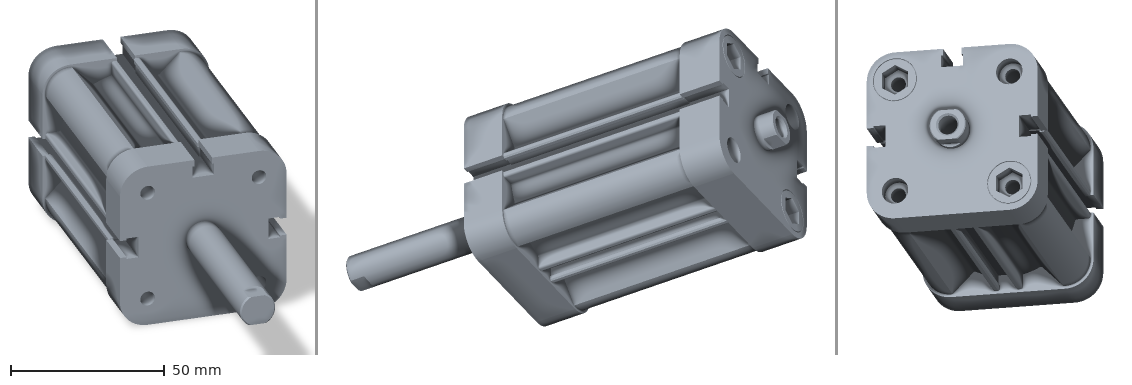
import cadquery as cq
import math


rod_length = 160.0
rear_cap_start = 6.9
rear_cap_length = 14.9
barrel_length = 66.5
front_cap_length = 14.4
barrel_start = rear_cap_start + rear_cap_length
front_cap_start = barrel_start + barrel_length

cap_width = 57.0
cap_corner_radius = 9.5
bolt_offset = cap_width / 2 - cap_corner_radius
bolt_hole_diameter = 5.0
recess_width = 8.8
recess_depth = 5.0
ring_outer_diameter = 14.7
ring_inner_diameter = 14.0
ring_depth = 0.5

slot_floor = 22.2
cap_mouth_width = 6.0
cap_mouth_depth = 2.2
cap_slot_width = 7.4

barrel_width = 55.0
tube_radius = 23.0
post_radius = barrel_width / 2 - bolt_offset
rib_half_width = 6.4
valley_fillet = 0.8
lip_half_width = 5.0
lip_top_fillet = 0.8
lip_base_fillet = 0.6
barrel_mouth_width = 5.5
barrel_mouth_depth = 1.8
barrel_mouth_chamfer = 0.5
barrel_slot_width = 6.4

rod_diameter = 12.0
front_chamfer = 0.5
rear_chamfer = 0.3
flat_width = 10.0
rear_flat_length = 4.8
front_flat_length = 5.5
run_out_angle = 65.0
thread_hole_diameter = 6.4
thread_mouth_diameter = 7.7
thread_hole_depth = 16.0
drill_tip_angle = 118.0

quarter_turns = [0, 90, 180, 270]
cap_slot_turns = [0, 90, 270]


def cross_section(x):
    """Workplane across the axis at x: local axes are Y and Z."""
    return cq.Workplane("YZ", origin=(x, 0, 0))


def turned(shape, angle):
    return shape.rotate((0, 0, 0), (1, 0, 0), angle)


def centred_rectangle(x, length, width, bottom, top):
    """Bar along X, centred in Y, between two heights."""
    return cross_section(x).center(0, (bottom + top) / 2).rect(width, top - bottom).extrude(length)


def bolt_holes(x, length):
    square = cross_section(x).rect(2 * bolt_offset, 2 * bolt_offset, forConstruction=True)
    return square.vertices().circle(bolt_hole_diameter / 2).extrude(length)


def rod_bore(x, length):
    return cross_section(x).circle(rod_diameter / 2).extrude(length)


def cap_blank(x, length):
    """Rounded square block with three stepped slots, bolt holes and the rod bore."""
    cap = cross_section(x).rect(cap_width, cap_width).extrude(length).edges("|X").fillet(cap_corner_radius)
    step = cap_width / 2 - cap_mouth_depth
    slot = centred_rectangle(x, length, cap_slot_width, slot_floor, step)
    slot = slot.union(centred_rectangle(x, length, cap_mouth_width, step, cap_width / 2))
    for angle in cap_slot_turns:
        cap = cap.cut(turned(slot, angle))
    return cap.cut(bolt_holes(x, length)).cut(rod_bore(x, length))


def make_front_cap():
    return cap_blank(front_cap_start, front_cap_length)


def make_rear_cap():
    """Cap with two round recesses on one diagonal and two ringed hexagonal ones on the other."""
    cap = cap_blank(rear_cap_start, rear_cap_length)
    face = cross_section(rear_cap_start)
    hexagon_diameter = recess_width / math.cos(math.pi / 6)
    for side in (1, -1):
        round_recess = face.center(-side * bolt_offset, side * bolt_offset).circle(recess_width / 2)
        cap = cap.cut(round_recess.extrude(recess_depth))
        hexagon_place = (rear_cap_start, side * bolt_offset, side * bolt_offset)
        hexagon = cq.Workplane("YZ").polygon(6, hexagon_diameter).extrude(recess_depth)
        ring = cq.Workplane("YZ").circle(ring_outer_diameter / 2).circle(ring_inner_diameter / 2)
        ring = ring.extrude(ring_depth)
        cap = cap.cut(turned(hexagon, 90).translate(hexagon_place))
        cap = cap.cut(ring.translate(hexagon_place))
    return cap


def corner_rib():
    """Diagonal rib with parallel flanks, ending in the round post at the bolt hole."""
    post_centre = bolt_offset * math.sqrt(2)
    flank_end = post_centre + math.sqrt(post_radius**2 - rib_half_width**2)
    return turned(
        cross_section(barrel_start)
        .moveTo(0, -rib_half_width)
        .lineTo(flank_end, -rib_half_width)
        .threePointArc((post_centre + post_radius, 0), (flank_end, rib_half_width))
        .lineTo(0, rib_half_width)
        .close()
        .extrude(barrel_length),
        45,
    )


def long_edges_at(body, across, out):
    """Lengthwise edges of the top side at distance `across` from the middle and height `out`."""
    tolerance = 0.02

    def is_there(edge):
        middle = edge.Center()
        return abs(abs(middle.y) - across) < tolerance and abs(middle.z - out) < tolerance

    return body.edges("|X").filter(is_there)


def barrel_slot():
    top = barrel_width / 2
    step = top - barrel_mouth_depth
    slot = centred_rectangle(barrel_start, barrel_length, barrel_slot_width, slot_floor, step)
    mouth_half = barrel_mouth_width / 2
    mouth = (
        cross_section(barrel_start)
        .polyline([
            (-mouth_half, step),
            (mouth_half, step),
            (mouth_half, top - barrel_mouth_chamfer),
            (mouth_half + barrel_mouth_chamfer, top),
            (-mouth_half - barrel_mouth_chamfer, top),
            (-mouth_half, top - barrel_mouth_chamfer),
        ])
        .close()
        .extrude(barrel_length)
    )
    return slot.union(mouth)


def make_barrel():
    barrel = cross_section(barrel_start).circle(tube_radius).extrude(barrel_length)
    lips = centred_rectangle(barrel_start, barrel_length, 2 * lip_half_width, 0, barrel_width / 2)
    for angle in quarter_turns:
        barrel = barrel.union(turned(corner_rib(), angle)).union(turned(lips, angle))

    flank_shift = rib_half_width * math.sqrt(2)
    valley_across = (math.sqrt(2 * tube_radius**2 - flank_shift**2) - flank_shift) / 2
    lip_base = math.sqrt(tube_radius**2 - lip_half_width**2)
    rounds = [
        (valley_across, valley_across + flank_shift, valley_fillet),
        (lip_half_width, lip_base, lip_base_fillet),
        (lip_half_width, barrel_width / 2, lip_top_fillet),
    ]
    slot = barrel_slot()
    for _ in quarter_turns:
        for across, out, radius in rounds:
            barrel = long_edges_at(barrel, across, out).fillet(radius)
        barrel = turned(barrel.cut(slot), 90)
    return barrel.cut(bolt_holes(barrel_start, barrel_length)).cut(rod_bore(barrel_start, barrel_length))


def flat_cutter(end, inward, length):
    """Cutter for the upper flat at one rod end, ending in a sloped shoulder; inward is +1 or -1 along X."""
    low = flat_width / 2
    rise = rod_diameter / 2 - low
    run_out = rise / math.tan(math.radians(run_out_angle))
    inner = end + inward * length
    return (
        cq.Workplane("XZ")
        .polyline([(end, low), (inner, low), (inner + inward * run_out, low + rise), (end, low + rise)])
        .close()
        .extrude(rod_diameter / 2, both=True)
    )


def thread_hole():
    """Blind hole in the rear end with a chamfered mouth and a drilled tip."""
    radius = thread_hole_diameter / 2
    mouth_radius = thread_mouth_diameter / 2
    tip = radius / math.tan(math.radians(drill_tip_angle / 2))
    return (
        cq.Workplane("XY")
        .polyline([
            (0, 0),
            (0, mouth_radius),
            (mouth_radius - radius, radius),
            (thread_hole_depth, radius),
            (thread_hole_depth + tip, 0),
        ])
        .close()
        .revolve(360, (0, 0, 0), (1, 0, 0))
    )


def make_rod():
    rod = cross_section(0).circle(rod_diameter / 2).extrude(rod_length)
    rod = rod.faces(">X").chamfer(front_chamfer).faces("<X").chamfer(rear_chamfer)
    for end, inward, length in ((0, 1, rear_flat_length), (rod_length, -1, front_flat_length)):
        upper = flat_cutter(end, inward, length)
        rod = rod.cut(upper).cut(turned(upper, 180))
    return rod.cut(thread_hole())


rear_cap = make_rear_cap()
front_cap = make_front_cap()
barrel = make_barrel()
rod = make_rod()

result = cq.Compound.makeCompound([rear_cap.val(), front_cap.val(), barrel.val(), rod.val()])